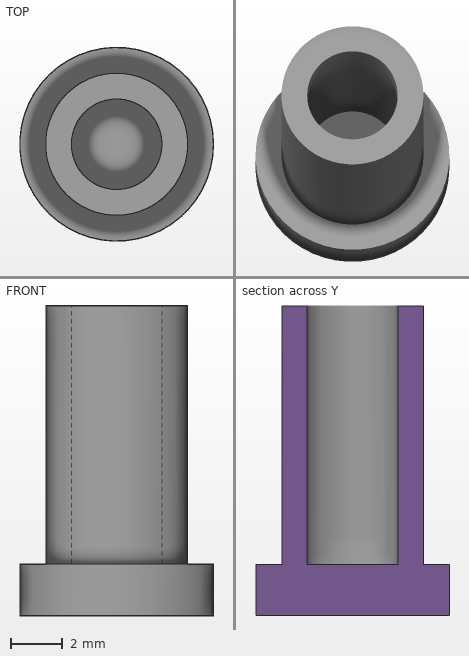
import cadquery as cq

total_height = 12.0
flange_diameter = 7.5
flange_height = 2.0
barrel_diameter = 5.5
bore_diameter = 3.5

barrel_height = total_height - flange_height
bore_depth = barrel_height

flange = cq.Workplane("XY").circle(flange_diameter / 2).extrude(flange_height)

headed_sleeve = flange.faces(">Z").workplane().circle(barrel_diameter / 2).extrude(barrel_height)

result = headed_sleeve.faces(">Z").workplane().hole(bore_diameter, bore_depth)